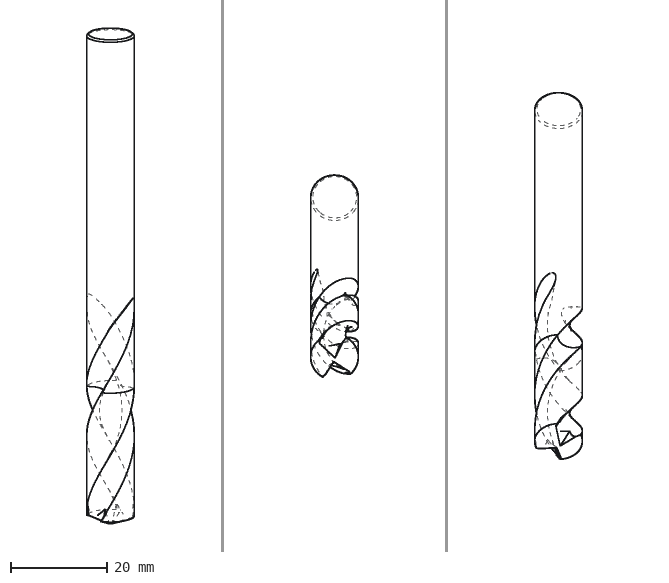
import cadquery as cq
import math

total_length = 106
diameter = 10.0
radius = diameter / 2

shank_chamfer = 0.4

point_angle = 140
point_height = radius / math.tan(math.radians(point_angle / 2))
cutting_length = 29.7

flute_count = 2
flute_lead = 55.1
flute_start_angle = 90
web_radius = 2.3
flute_radius = 3.3
flute_center = web_radius + flute_radius
runout_start = 43.5
runout_end = 49.3
runout_steps = 4
runout_power = 1.4
below_point = 1.1

gash_root_x = 0.2
gash_root_y = -0.3
gash_direction = -44
gash_elevation = 60
gash_width = 4.2
gash_below = 2.1
gash_above = 8.5


def flute_angle(height):
    return flute_start_angle + 360 * height / flute_lead


def flute_section(height, center_distance):
    """Circle of the flute cutter, turned to its place on the helix."""
    circle = cq.Wire.makeCircle(flute_radius, cq.Vector(center_distance, 0, height), cq.Vector(0, 0, 1))
    return circle.rotate(cq.Vector(0, 0, 0), cq.Vector(0, 0, 1), flute_angle(height))


def flute_cutter():
    """Constant-depth helix, followed by a runout that climbs out to the surface."""
    helix_length = runout_start + below_point
    helix = (
        cq.Workplane("XY")
        .pushPoints([(flute_center, 0)])
        .circle(flute_radius)
        .twistExtrude(helix_length, 360 * helix_length / flute_lead)
        .rotate((0, 0, 0), (0, 0, 1), flute_angle(-below_point))
        .translate((0, 0, -below_point))
    )
    sections = []
    for step in range(runout_steps + 1):
        fraction = step / runout_steps
        height = runout_start + fraction * (runout_end - runout_start)
        distance = flute_center + fraction**runout_power * (radius - web_radius)
        sections.append(flute_section(height, distance))
    return helix.val(), cq.Solid.makeLoft(sections)


def gash_cutter():
    """Square bar whose edge is the notch root, climbing from the apex into the flute."""
    heading = math.radians(gash_direction)
    climb = math.radians(gash_elevation)
    root_line = (math.cos(heading), math.sin(heading), math.tan(climb))
    across = (-math.sin(heading), math.cos(heading), 0)
    root_plane = cq.Plane(origin=(gash_root_x, gash_root_y, 0), xDir=across, normal=root_line)
    return (
        cq.Workplane(root_plane)
        .workplane(offset=-gash_below)
        .rect(-gash_width, -gash_width, centered=False)
        .extrude(gash_below + gash_above)
    )


def whole_drill():
    blank = (
        cq.Workplane("XZ")
        .moveTo(0, 0)
        .lineTo(radius, point_height)
        .lineTo(radius, total_length - shank_chamfer)
        .lineTo(radius - shank_chamfer, total_length)
        .lineTo(0, total_length)
        .close()
        .revolve(360, (0, 0, 0), (0, 1, 0))
    )
    helix, runout = flute_cutter()
    gash = gash_cutter()
    for index in range(flute_count):
        turn = index * 360 / flute_count
        for cutter in (cq.Workplane(helix), cq.Workplane(runout), gash):
            blank = blank.cut(cutter.rotate((0, 0, 0), (0, 0, 1), turn))
    return blank


def slice_between(solid, bottom, top):
    slab = cq.Workplane("XY", origin=(0, 0, bottom)).rect(2 * diameter, 2 * diameter).extrude(top - bottom)
    return solid.intersect(slab)


drill = whole_drill()

tip = slice_between(drill, 0, cutting_length)

body = slice_between(drill, cutting_length, total_length)

result = cq.Compound.makeCompound([tip.val(), body.val()])